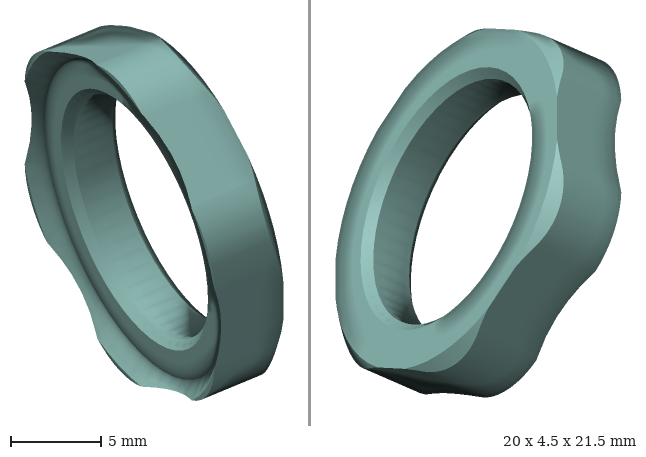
import cadquery as cq
import math

side_count = 6
across_flats = 20.0
thickness = 4.5
corner_radius = 5.0

bore_diameter = 14.5
bore_chamfer = 0.5

seat_diameter = 18.95
dish_rim_diameter = 20.92

back_chamfer_diameter = 20.2

half_side_angle = 180 / side_count
across_corners = across_flats / math.cos(math.radians(half_side_angle))
seat_depth = (dish_rim_diameter - seat_diameter) / 2


def revolve_about_y(profile):
    """Revolve (radius, y) points into a solid around the Y axis."""
    return cq.Workplane("XY").polyline(profile).close().revolve(360, (0, 0, 0), (0, 1, 0))


def hexagon_body():
    """Hexagonal prism with two flats facing X and rounded corners."""
    return (
        cq.Workplane("XZ")
        .transformed(rotate=(0, 0, half_side_angle))
        .polygon(side_count, across_corners)
        .extrude(-thickness)
        .edges("|Y")
        .fillet(corner_radius)
    )


def dish():
    """Recess in the front face: a flat seat with a 45 degree wall out to the corners."""
    return revolve_about_y([
        (0, 0),
        (dish_rim_diameter / 2, 0),
        (seat_diameter / 2, seat_depth),
        (0, seat_depth),
    ])


def back_corner_chamfer():
    """Ring that trims the corners of the back face at 45 degrees."""
    inner_radius = back_chamfer_diameter / 2
    outer_radius = across_corners / 2
    return revolve_about_y([
        (inner_radius, thickness),
        (outer_radius, thickness),
        (outer_radius, thickness - (outer_radius - inner_radius)),
    ])


def bore():
    """Through bore with a 45 degree chamfer at each end."""
    bore_radius = bore_diameter / 2
    mouth_radius = bore_radius + bore_chamfer
    return revolve_about_y([
        (0, 0),
        (mouth_radius, 0),
        (mouth_radius, seat_depth),
        (bore_radius, seat_depth + bore_chamfer),
        (bore_radius, thickness - bore_chamfer),
        (mouth_radius, thickness),
        (0, thickness),
    ])


result = hexagon_body().cut(dish()).cut(back_corner_chamfer()).cut(bore())